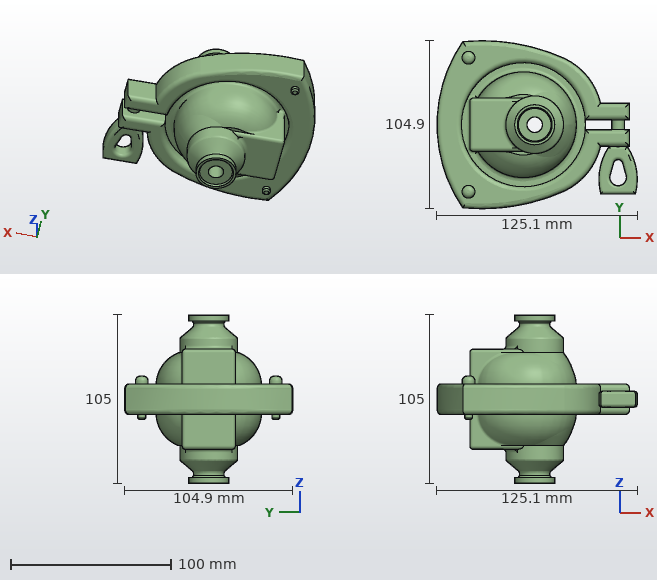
import cadquery as cq
import math


bowl_x = -7.0
bowl_radius = 33.0
bowl_wall_top = 8.2
bowl_crown_radius = 22.4
bowl_top = bowl_wall_top + bowl_crown_radius

flange_radius = 38.7
flange_half = 2.5
root_fillet = 2.5

shoulder_mid_x = -5.0
shoulder_mid_radius = 29.2
shoulder_mid_z = 17.0
shoulder_top = 29.0

block_left = -40.5
block_width = 33.2
block_top = 31.3
block_round = 2.2
block_side_fillet = 1.8
block_root_fillet = 1.8

neck_radius = 36.0 / 2
neck_top = 38.2
neck_round = 1.8
neck_root_fillet = 2.0
tube_radius = 19.05 / 2
tube_bottom = 45.4
tube_round = 2.0
ferrule_radius = 25.0 / 2
ferrule_top = 105.0 / 2
ferrule_thickness = 3.8
ferrule_root = 1.0
recess_radius = 21.82 / 2
recess_floor = 10.2
recess_depth = 1.2
bore_radius = 9.52 / 2

clamp_half = 9.65
clamp_round = 3.0
clamp_left = -61.0
corner_x = -44.8
side_peak_x = -33.0
side_peak_y = 104.88 / 2
side_radius = 126.0
seam_x = 18.8
nose_radius = 50.0
nose_mid_angle = math.radians(37)
lug_end = 59.2
lug_outer = 13.5
lug_inner = 3.0

pin_x = -41.3
pin_y = 41.8
pin_head_radius = 8.0 / 2
pin_head_top = 14.5
pin_head_round = 3.0
pin_tail_radius = 5.0 / 2
pin_tail_bottom = -12.7
pin_tail_chamfer = 1.0

screw_x = 52.02
screw_radius = 8.0 / 2
nut_thickness = 10.0
nut_round = 2.0
nut_top_half = 5.6
nut_wide_half = 12.0
nut_wide_y = -32.5
nut_base_half = 10.8
nut_base_y = -43.3
eye_low_y = -32.9
eye_low_radius = 5.1
eye_high_y = -24.7
eye_high_radius = 2.9


def both_sides(shape):
    """Return the shape joined with its mirror image below Z = 0."""
    return shape.union(shape.mirror("XY"))


def spin(profile):
    """Revolve an XZ profile about the vertical line through its origin."""
    return profile.close().revolve(360, (0, 0), (0, 1))


def make_bowl():
    flat = bowl_radius - bowl_crown_radius
    reach = bowl_crown_radius * math.sqrt(0.5)
    profile = (
        cq.Workplane("XZ")
        .lineTo(bowl_radius, 0)
        .lineTo(bowl_radius, bowl_wall_top)
        .threePointArc((flat + reach, bowl_wall_top + reach), (flat, bowl_top))
        .lineTo(0, bowl_top)
    )
    return spin(profile).translate((bowl_x, 0, 0))


def make_shoulder():
    return (
        cq.Workplane("XY", origin=(bowl_x, 0, flange_half))
        .circle(bowl_radius)
        .workplane(offset=shoulder_mid_z - flange_half)
        .center(shoulder_mid_x - bowl_x, 0)
        .circle(shoulder_mid_radius)
        .workplane(offset=shoulder_top - shoulder_mid_z)
        .center(-shoulder_mid_x, 0)
        .circle(neck_radius)
        .loft()
    )


def cove(inner, base, size):
    """Ring with a concave quarter-round face: a fillet between a vertical cylinder and a level face."""
    hollow = size * (1 - math.sqrt(0.5))
    profile = (
        cq.Workplane("XZ")
        .lineTo(inner + size, 0)
        .lineTo(inner + size, base)
        .threePointArc((inner + hollow, base + hollow), (inner, base + size))
        .lineTo(0, base + size)
    )
    return spin(profile)


def block_blank(height):
    """Side block with rounded upright corners and a square top."""
    return (
        cq.Workplane("XY")
        .box(-block_left, block_width, height, centered=(False, True, False))
        .translate((block_left, 0, 0))
        .edges("<X and |Z")
        .fillet(block_round)
    )


def make_block():
    return block_blank(block_top).faces(">Z").edges("not >X").fillet(block_round)


def make_block_root():
    """Flange disc with the foot of the block blended into it."""
    disc = cq.Workplane("XY", origin=(bowl_x, 0, 0)).circle(flange_radius).extrude(flange_half)
    foot_height = flange_half + 2 * block_root_fillet
    level = cq.selectors.BoxSelector(
        (block_left - 1, -block_width, flange_half - 0.1),
        (block_left / 4, block_width, flange_half + 0.1),
    )
    return disc.union(block_blank(foot_height)).edges(level).fillet(block_root_fillet)


def make_blended_bowl():
    """Bowl with fillets running up along the sides of the block, below the rounded top edges."""
    joint = make_bowl().union(block_blank(2 * block_top))
    joint = joint.edges("%BSPLINE").edges("<X").fillet(block_side_fillet)
    cap_size = 4 * bowl_radius
    cap = cq.Workplane("XY").box(cap_size, cap_size, shoulder_top, centered=(True, True, False))
    return joint.intersect(cap)


def make_neck():
    ferrule_base = ferrule_top - ferrule_thickness
    profile = (
        cq.Workplane("XZ")
        .lineTo(neck_radius, 0)
        .lineTo(neck_radius, neck_top)
        .lineTo(tube_radius, tube_bottom)
        .lineTo(tube_radius, ferrule_base - ferrule_root)
        .lineTo(tube_radius + ferrule_root, ferrule_base)
        .lineTo(ferrule_radius, ferrule_base)
        .lineTo(ferrule_radius, ferrule_top)
        .lineTo(recess_radius, ferrule_top)
        .lineTo(recess_floor, ferrule_top - recess_depth)
        .lineTo(0, ferrule_top - recess_depth)
    )
    neck = spin(profile)
    cone_ends = (
        (neck_radius, neck_top, neck_round),
        (tube_radius, tube_bottom, tube_round),
    )
    for radius, height, size in cone_ends:
        ring = cq.selectors.BoxSelector(
            (-radius - 1, -radius - 1, height - 0.1),
            (radius + 1, radius + 1, height + 0.1),
        )
        neck = neck.edges(ring).fillet(size)
    return neck


def make_neck_root():
    """Fillet between the neck and the level top of the block."""
    level_width = block_width - 2 * block_round
    block_side = (
        cq.Workplane("XY")
        .box(-block_left, level_width, ferrule_top, centered=(False, True, False))
        .translate((block_left, 0, 0))
    )
    return cove(neck_radius, block_top, neck_root_fillet).intersect(block_side)


def make_body():
    half = (
        make_block_root()
        .union(cove(bowl_radius, flange_half, root_fillet).translate((bowl_x, 0, 0)))
        .union(make_blended_bowl())
        .union(make_shoulder())
        .union(make_block())
        .union(make_neck())
        .union(make_neck_root())
    )
    return both_sides(half)


def make_clamp():
    side_center_y = side_peak_y - side_radius

    def side_y(x):
        return side_center_y + math.sqrt(side_radius**2 - (x - side_peak_x) ** 2)

    corner_y = side_y(corner_x)
    seam_y = side_y(seam_x)
    nose_end_x = bowl_x + math.sqrt(nose_radius**2 - lug_outer**2)
    nose_mid_x = bowl_x + nose_radius * math.cos(nose_mid_angle)
    nose_mid_y = nose_radius * math.sin(nose_mid_angle)

    plate = (
        cq.Workplane("XY")
        .moveTo(corner_x, -corner_y)
        .threePointArc((clamp_left, 0), (corner_x, corner_y))
        .threePointArc((side_peak_x, side_peak_y), (seam_x, seam_y))
        .threePointArc((nose_mid_x, nose_mid_y), (nose_end_x, lug_outer))
        .lineTo(lug_end, lug_outer)
        .lineTo(lug_end, -lug_outer)
        .lineTo(nose_end_x, -lug_outer)
        .threePointArc((nose_mid_x, -nose_mid_y), (seam_x, -seam_y))
        .threePointArc((side_peak_x, -side_peak_y), (corner_x, -corner_y))
        .close()
        .extrude(clamp_half, both=True)
    )
    opening = cq.Workplane("XY", origin=(bowl_x, 0, 0)).circle(flange_radius).extrude(clamp_half, both=True)
    lug_gap = cq.Workplane("XY").box(lug_end, 2 * lug_inner, 2 * clamp_half, centered=(False, True, True))
    plate = plate.cut(opening).cut(lug_gap)
    return plate.faces(">Z or <Z").edges().fillet(clamp_round)


def make_pin():
    head = cq.Workplane("XY").circle(pin_head_radius).extrude(pin_head_top)
    head = head.faces(">Z").edges().fillet(pin_head_round)
    tail = cq.Workplane("XY").circle(pin_tail_radius).extrude(pin_tail_bottom)
    tail = tail.faces("<Z").edges().chamfer(pin_tail_chamfer)
    return head.union(tail)


def make_eye():
    """Teardrop hole: two circles joined by their common tangents."""
    slope = (eye_low_radius - eye_high_radius) / (eye_high_y - eye_low_y)
    across = math.sqrt(1 - slope**2)
    low_x = eye_low_radius * across
    low_y = eye_low_y + eye_low_radius * slope
    high_x = eye_high_radius * across
    high_y = eye_high_y + eye_high_radius * slope
    return (
        cq.Workplane("XY")
        .moveTo(low_x, low_y)
        .lineTo(high_x, high_y)
        .threePointArc((0, eye_high_y + eye_high_radius), (-high_x, high_y))
        .lineTo(-low_x, low_y)
        .threePointArc((0, eye_low_y - eye_low_radius), (low_x, low_y))
        .close()
        .extrude(nut_thickness / 2, both=True)
    )


def make_wing_nut():
    blade = (
        cq.Workplane("XY")
        .moveTo(-nut_top_half, -lug_outer)
        .lineTo(nut_top_half, -lug_outer)
        .threePointArc((nut_wide_half, nut_wide_y), (nut_base_half, nut_base_y))
        .lineTo(-nut_base_half, nut_base_y)
        .threePointArc((-nut_wide_half, nut_wide_y), (-nut_top_half, -lug_outer))
        .close()
        .extrude(nut_thickness / 2, both=True)
        .cut(make_eye())
    )
    blade = blade.faces(">Z or <Z").edges().fillet(nut_round)
    return blade.translate((screw_x, 0, 0))


def make_screw():
    """Cylinder along Y, from inside the +Y lug to just inside the wing nut."""
    start = (lug_inner + lug_outer) / 2
    return (
        cq.Workplane("XZ", origin=(screw_x, start, 0))
        .circle(screw_radius)
        .extrude(start + lug_outer + nut_round)
    )


result = make_body().union(make_clamp())
for pin_side in (1, -1):
    result = result.union(make_pin().translate((pin_x, pin_side * pin_y, 0)))
result = result.union(make_screw()).union(make_wing_nut())
result = result.cut(cq.Workplane("XY").circle(bore_radius).extrude(ferrule_top, both=True))